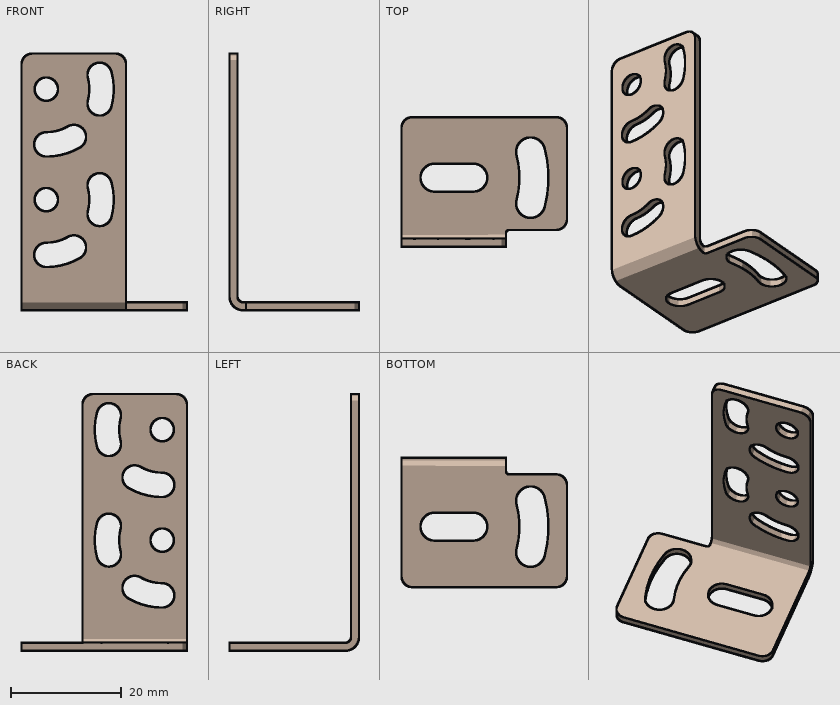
import cadquery as cq
import math

thickness = 1.5
inner_bend_radius = 1.0
outer_bend_radius = inner_bend_radius + thickness
corner_radius = 2.0

height = 46.5
upright_width = 18.95
foot_length = 30.0
foot_depth = 23.5
tab_front = 3.0
tab_root_radius = tab_front - outer_bend_radius

pivot_x = 4.5
pivot_diameter = 4.2
upper_pivot_z = 40.05
pivot_pitch = 20.0
upright_slot_radius = 10.0
upright_slot_width = 4.35

foot_slot_x = 6.0
foot_slot_y = 12.5
foot_slot_travel = 7.0
foot_slot_width = 5.0
foot_arc_radius = 18.0
foot_arc_width = 5.2

slot_half_angle = 15
lower_slot_direction = -75


def polar(center, radius, angle):
    """Point at the given radius and angle in degrees around a center."""
    a = math.radians(angle)
    return (center[0] + radius * math.cos(a), center[1] + radius * math.sin(a))


def arc_slot(plane, center, radius, width, direction, depth):
    """Round-ended slot following an arc about center, extruded through the sheet."""
    inner = radius - width / 2
    outer = radius + width / 2
    start = direction - slot_half_angle
    end = direction + slot_half_angle
    start_cap = cq.Workplane(plane).center(*polar(center, radius, start)).circle(width / 2).extrude(depth)
    end_cap = cq.Workplane(plane).center(*polar(center, radius, end)).circle(width / 2).extrude(depth)
    band = (
        cq.Workplane(plane)
        .moveTo(*polar(center, inner, start))
        .lineTo(*polar(center, outer, start))
        .threePointArc(polar(center, outer, direction), polar(center, outer, end))
        .lineTo(*polar(center, inner, end))
        .threePointArc(polar(center, inner, direction), polar(center, inner, start))
        .close()
        .extrude(depth)
    )
    return band.union(start_cap).union(end_cap)


def bent_sheet():
    """L-shaped sheet with a rounded bend and rounded free corners."""
    sheet = (
        cq.Workplane("YZ")
        .polyline([(0, 0), (foot_depth, 0), (foot_depth, thickness),
                   (thickness, thickness), (thickness, height), (0, height)])
        .close()
        .extrude(upright_width)
    )
    sheet = sheet.edges(cq.selectors.NearestToPointSelector((upright_width / 2, 0, 0))).fillet(outer_bend_radius)
    inside_corner = (upright_width / 2, thickness, thickness)
    sheet = sheet.edges(cq.selectors.NearestToPointSelector(inside_corner)).fillet(inner_bend_radius)
    sheet = sheet.faces(">Z").edges("|Y").fillet(corner_radius)
    return sheet.edges("|Z and <X and >Y").fillet(corner_radius)


def side_tab():
    """Part of the foot that extends past the upright on the +X side."""
    tab = (
        cq.Workplane("XY")
        .moveTo(upright_width, foot_depth)
        .lineTo(foot_length, foot_depth)
        .lineTo(foot_length, tab_front)
        .lineTo(upright_width + tab_root_radius, tab_front)
        .radiusArc((upright_width, outer_bend_radius), -tab_root_radius)
        .close()
        .extrude(thickness)
    )
    return tab.edges("|Z and >X").fillet(corner_radius)


def upright_openings(pivot_z):
    """Pivot hole with one arc slot to its right and one below it."""
    pivot = (pivot_x, pivot_z)
    depth = -thickness
    hole = cq.Workplane("XZ").center(*pivot).circle(pivot_diameter / 2).extrude(depth)
    for direction in (0, lower_slot_direction):
        hole = hole.union(
            arc_slot("XZ", pivot, upright_slot_radius, upright_slot_width, direction, depth)
        )
    return hole


def foot_openings():
    """Straight slot and the arc slot swung around its left end."""
    straight = (
        cq.Workplane("XY")
        .center(foot_slot_x + foot_slot_travel / 2, foot_slot_y)
        .slot2D(foot_slot_travel + foot_slot_width, foot_slot_width)
        .extrude(thickness)
    )
    arc = arc_slot("XY", (foot_slot_x, foot_slot_y), foot_arc_radius, foot_arc_width, 0, thickness)
    return straight.union(arc)


result = bent_sheet().union(side_tab()).clean()
for pivot_z in (upper_pivot_z, upper_pivot_z - pivot_pitch):
    result = result.cut(upright_openings(pivot_z))
result = result.cut(foot_openings())